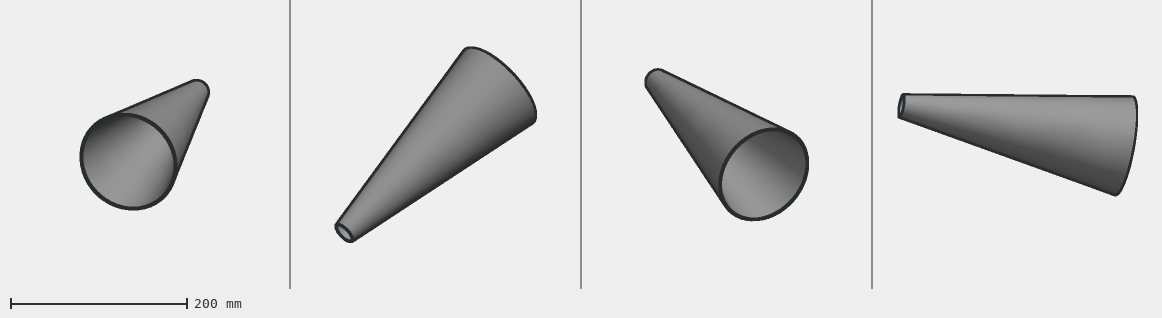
import cadquery as cq

length = 262.0
wide_diameter = 114.2
narrow_diameter = 27.0
wall = 2.0

wide_radius = wide_diameter / 2
narrow_radius = narrow_diameter / 2
wide_end_y = -length / 2
narrow_end_y = length / 2

wall_section = (
    cq.Workplane("XY")
    .moveTo(wide_radius - wall, wide_end_y)
    .lineTo(wide_radius, wide_end_y)
    .lineTo(narrow_radius, narrow_end_y)
    .lineTo(narrow_radius - wall, narrow_end_y)
    .close()
)

result = wall_section.revolve(360, (0, 0, 0), (0, 1, 0))